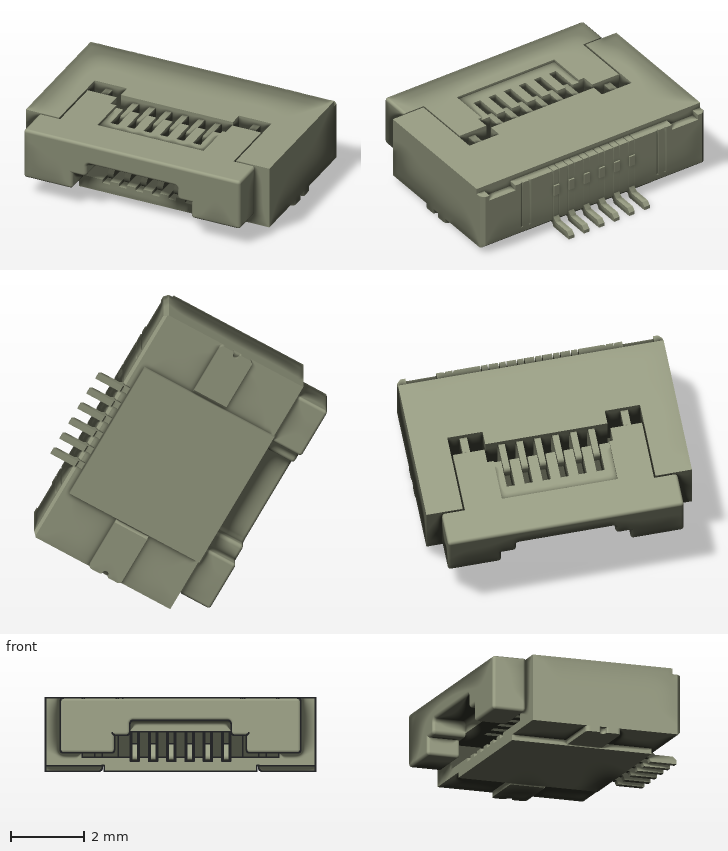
import cadquery as cq
import math

EPS = 0.075

width = 7.4
height = 2.01
roof_depth = 4.08
housing_depth = 4.34
standoff = 0.155
ledge_z = 1.85
pad_half_width = 2.09
rear_corner = 0.11
rear_bottom_chamfer = 0.08
rear_notch_inner = 2.59
rear_notch_outer = 3.45
rear_notch_z = 2 * ledge_z - height

cavity_half_width = 2.685
cavity_floor = 0.385
cavity_depth = 1.84
side_pocket_depth = 2.235
side_pocket_inner = 1.7

gap = 0.05
lock_front = -1.01
head_half_width = 3.285
lock_top = 2.005
head_bottom = 0.5
head_round = 0.08
leg_inner = 1.805
shoulder_z = 0.985
tongue_bottom = 1.08
tongue_half_width = cavity_half_width - gap
tongue_depth = 1.69
tongue_step_inner = side_pocket_inner + gap
comb_end = 1.295
comb_start = 0.49
window_left = -1.575
window_right = 1.65
window_start = 0.1
window_recess = 0.08
recess_half_width = 1.385
recess_top = 1.4
recess_round = 0.1

contact_count = 6
pitch = 0.5
contact_width = 0.18
contact_slot_width = 0.23
contact_bottom = 0.28
arm_thickness = 0.295
upper_arm_tip = 1.015
upper_tip_round = 0.1
lower_arm_top = 0.755
lower_slope_start = 0.57
lower_slope_height = 0.29
throat_y = 2.59
foot_y = 4.115
foot_bottom = 0.11
foot_step_run = 0.05
tail_end = 5.09
tail_thickness = 0.21
tail_chamfer = 0.1
tail_ramp = 0.12
bump_bottom = 1.04
bump_top = 1.36
bump_height = 0.045

nail_inner = 2.14
nail_outer = 2.345
nail_mouth_round = 0.08
nail_plate_front = 2.11
tab_front = 1.57
tab_back = 2.58
tab_corner = 0.11
tab_notch_radius = 0.09
tab_notch_mouth_round = 0.05
tab_notch_neck = 0.06
tab_bend = 0.07

contact_xs = [(i - (contact_count - 1) / 2) * pitch for i in range(contact_count)]


def box(x0, x1, y0, y1, z0, z1):
    """Axis-aligned block between two corners."""
    return cq.Workplane("XY").box(x1 - x0, y1 - y0, z1 - z0, centered=False).translate((x0, y0, z0))


def mirrored_prism(half_outline, z0, z1):
    """Vertical prism whose right half has the given outline, from the middle line outwards."""
    left_half = [(-x, y) for x, y in reversed(half_outline)]
    outline = half_outline + left_half
    return cq.Workplane("XY").polyline(outline).close().extrude(z1 - z0).translate((0, 0, z0))


def make_housing():
    """Moulded body with the lock cavity, contact slots and nail slots."""
    half_width = width / 2
    body = box(-half_width, half_width, 0, housing_depth, standoff, height)
    body = body.edges("|Z and >Y").chamfer(rear_corner)
    body = body.edges(">Y and <Z").chamfer(rear_bottom_chamfer)
    body = body.cut(box(-half_width, half_width, roof_depth, housing_depth + EPS, ledge_z, height + EPS))
    body = body.union(box(-pad_half_width, pad_half_width, 0, roof_depth, 0, standoff))

    cavity_outline = [
        (cavity_half_width, -EPS),
        (cavity_half_width, side_pocket_depth),
        (side_pocket_inner, side_pocket_depth),
        (side_pocket_inner, cavity_depth),
    ]
    body = body.cut(mirrored_prism(cavity_outline, cavity_floor, height + EPS))

    for x in contact_xs:
        x0 = x - contact_slot_width / 2
        x1 = x + contact_slot_width / 2
        body = body.cut(box(x0, x1, -EPS, housing_depth + EPS, contact_bottom, ledge_z))
        body = body.cut(box(x0, x1, foot_y, housing_depth + EPS, -EPS, ledge_z))

    for side in (-1, 1):
        x0, x1 = sorted((side * nail_inner, side * nail_outer))
        body = body.cut(box(x0, x1, nail_plate_front, housing_depth + EPS, cavity_floor, ledge_z))
        body = body.cut(box(x0, x1, nail_plate_front, tab_back, standoff - EPS, ledge_z))
        mouth = cq.selectors.BoxSelector(
            (x0 - EPS, housing_depth - EPS, cavity_floor),
            (x1 + EPS, housing_depth + EPS, ledge_z),
        )
        body = body.edges("|Z").edges(mouth).fillet(nail_mouth_round)
        n0, n1 = sorted((side * rear_notch_inner, side * rear_notch_outer))
        body = body.cut(box(n0, n1, roof_depth, housing_depth + EPS, rear_notch_z, height))
    return body


def make_lock_head():
    """Front bar of the lock, with a stepped notch below and an opening for the cable in its middle."""
    back = -gap
    head = box(-head_half_width, head_half_width, lock_front, back, head_bottom, lock_top)
    head = head.edges("<X or >X or (<Y and >Z) or (<Y and <Z) or (>Y and <Z)").fillet(head_round)

    head = head.cut(box(-leg_inner, leg_inner, lock_front - EPS, EPS, 0, shoulder_z))
    opening = box(-recess_half_width, recess_half_width, lock_front - EPS, back, 0, recess_top)
    opening = opening.edges("|Y and >Z").fillet(recess_round)
    coved_profile = (
        cq.Workplane("YZ")
        .moveTo(lock_front - EPS, 0)
        .lineTo(back, 0)
        .lineTo(back, recess_top - recess_round)
        .radiusArc((back - recess_round, recess_top), -recess_round)
        .lineTo(lock_front - EPS, recess_top)
        .close()
    )
    head = head.cut(opening.intersect(coved_profile.extrude(recess_half_width, both=True)))

    shoulder_corners = cq.selectors.BoxSelector(
        (-recess_half_width - EPS / 2, lock_front, shoulder_z - EPS / 2),
        (recess_half_width + EPS / 2, back, shoulder_z + EPS / 2),
    )
    head = head.edges("|Y").edges(shoulder_corners).fillet(recess_round)

    leg_rim = cq.selectors.BoxSelector(
        (-leg_inner - EPS, lock_front - EPS / 2, head_bottom + head_round),
        (leg_inner + EPS, lock_front + EPS / 2, lock_top - 2 * head_round),
    )
    return head.faces("<Y").edges(leg_rim).fillet(head_round)


def make_lock():
    """Sliding lock: front bar and a flat tongue with a comb slot for each contact."""
    tongue_outline = [
        (tongue_half_width, -gap),
        (tongue_half_width, tongue_depth),
        (tongue_step_inner, tongue_depth),
        (tongue_step_inner, comb_end),
    ]
    tongue = mirrored_prism(tongue_outline, tongue_bottom, lock_top)
    lock = make_lock_head().union(tongue)
    lock = lock.cut(box(
        window_left, window_right,
        window_start, comb_end + EPS,
        lock_top - window_recess, lock_top + EPS,
    ))
    for x in contact_xs:
        x0 = x - contact_slot_width / 2
        x1 = x + contact_slot_width / 2
        lock = lock.cut(box(x0, x1, comb_start, comb_end + EPS, 0, height + EPS))
    return lock


def make_contact(x):
    """Forked contact: upper and lower arm, upright, and a tail that lies on the board."""
    slope_end_y = lower_slope_start - lower_slope_height
    slope_end_z = lower_arm_top - lower_slope_height
    diagonal = math.sqrt(0.5)
    nose_radius = (slope_end_z - contact_bottom) / (1 + diagonal)
    nose_y = slope_end_y + nose_radius * diagonal
    nose_z = contact_bottom + nose_radius

    round_mid = upper_tip_round * (1 - diagonal)
    profile = (
        cq.Workplane("YZ")
        .moveTo(housing_depth, ledge_z)
        .lineTo(upper_arm_tip + upper_tip_round, ledge_z)
        .threePointArc(
            (upper_arm_tip + round_mid, ledge_z - round_mid),
            (upper_arm_tip, ledge_z - upper_tip_round),
        )
        .lineTo(upper_arm_tip, ledge_z - arm_thickness)
        .lineTo(throat_y, ledge_z - arm_thickness)
        .lineTo(throat_y, lower_arm_top)
        .lineTo(lower_slope_start, lower_arm_top)
        .lineTo(slope_end_y, slope_end_z)
        .threePointArc((nose_y - nose_radius, nose_z), (nose_y, contact_bottom))
        .lineTo(foot_y, contact_bottom)
        .lineTo(foot_y, foot_bottom)
        .lineTo(housing_depth - foot_step_run, foot_bottom)
        .lineTo(housing_depth, 0)
        .lineTo(tail_end, 0)
        .lineTo(tail_end, tail_thickness - tail_chamfer)
        .lineTo(tail_end - tail_chamfer, tail_thickness)
        .lineTo(housing_depth + tail_ramp, tail_thickness)
        .lineTo(housing_depth, tail_thickness + tail_ramp)
        .lineTo(housing_depth, bump_bottom)
        .lineTo(housing_depth + bump_height, bump_bottom)
        .lineTo(housing_depth + bump_height, bump_top)
        .lineTo(housing_depth, bump_top)
        .close()
    )
    return profile.extrude(contact_width / 2, both=True).translate((x, 0, 0))


def make_nail(side):
    """Upright plate with a short arm, bent outwards into a solder tab; side is -1 or 1."""
    plate = box(nail_inner, nail_outer, nail_plate_front, housing_depth, cavity_floor, ledge_z)
    arm = box(nail_inner, nail_outer, tongue_depth, nail_plate_front, ledge_z - arm_thickness, ledge_z)
    leg = box(nail_inner, nail_outer, nail_plate_front, tab_back, standoff, ledge_z)

    tab = box(nail_inner, width / 2, tab_front, tab_back, 0, standoff)
    tab = tab.edges("|Z and >X").fillet(tab_corner)
    tab = tab.edges("<X and <Z").chamfer(tab_bend)
    notch_x = width / 2 - tab_notch_neck
    notch_y = (tab_front + tab_back) / 2
    notch = cq.Workplane("XY").circle(tab_notch_radius).extrude(standoff).translate((notch_x, notch_y, 0))
    notch_y0 = notch_y - tab_notch_radius
    notch_y1 = notch_y + tab_notch_radius
    notch = notch.union(box(notch_x, width / 2, notch_y0, notch_y1, 0, standoff))
    tab = tab.cut(notch)
    mouth = cq.selectors.BoxSelector(
        (width / 2 - EPS / 2, notch_y0 - EPS / 2, 0),
        (width / 2 + EPS / 2, notch_y1 + EPS / 2, standoff),
    )
    tab = tab.edges("|Z").edges(mouth).fillet(tab_notch_mouth_round)

    nail = plate.union(arm).union(leg).union(tab)
    return nail if side > 0 else nail.mirror("YZ")


housing = make_housing()
lock = make_lock()
contacts = [make_contact(x) for x in contact_xs]
nails = [make_nail(side) for side in (-1, 1)]

result = cq.Compound.makeCompound(
    [housing.val(), lock.val()]
    + [contact.val() for contact in contacts]
    + [nail.val() for nail in nails]
)